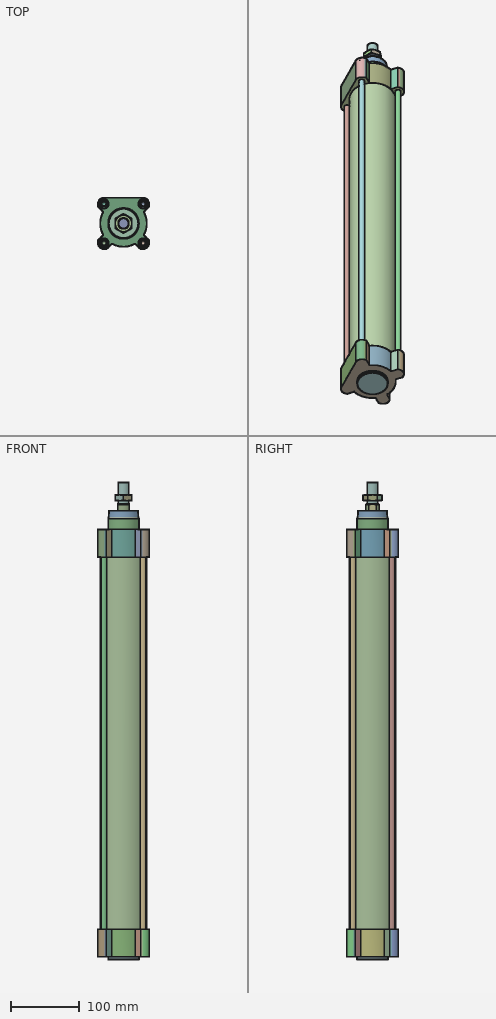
import cadquery as cq
import math

total_length = 693.0
rear_spigot_height = 4.0
cover_height = 40.0
front_cover_top = 624.5
collar_top = 651.5
collar_step_bottom = 640.0
collar_step_height = 2.0
nut_bottom = 666.0
nut_height = 8.0
rod_shoulder_top = 662.0

cover_width = 75.0
cover_diameter = 68.0
barrel_diameter = 67.0
bolt_offset = 28.5
lug_width = 18.0
lug_corner_radius = 10.0

collar_diameter = 45.0
collar_neck_diameter = 44.0
collar_top_diameter = 42.0
spigot_chamfer = 1.0
tie_rod_diameter = 8.0

recess_diameter = 14.0
recess_depth = 3.5
socket_diameter = 6.65
socket_depth = 10.5
socket_mouth_diameter = 9.0
drill_point_angle = 118.0

rod_diameter = 20.0
thread_diameter = 16.0
rod_chamfer = (rod_diameter - thread_diameter) / 2
thread_chamfer = 1.0
wrench_flat_width = 17.0
nut_across_flats = 24.0
nut_chamfer_height = 1.0
nut_corner_diameter = nut_across_flats / math.cos(math.pi / 6)

front_cover_bottom = front_cover_top - cover_height
rear_cover_bottom = rear_spigot_height
rear_cover_top = rear_cover_bottom + cover_height
rod_bottom = front_cover_bottom


def cylinder(diameter, bottom, top):
    return cq.Workplane("XY").workplane(offset=bottom).circle(diameter / 2).extrude(top - bottom)


def at_bolts(bottom):
    """Workplane at the given height with a point on each of the four bolt axes."""
    spacing = 2 * bolt_offset
    return cq.Workplane("XY").workplane(offset=bottom).rect(spacing, spacing, forConstruction=True).vertices()


def make_cover(bottom):
    """Round cover with four diagonal corner lugs and a flat +Y side."""
    square = (
        cq.Workplane("XY").workplane(offset=bottom)
        .rect(cover_width, cover_width).extrude(cover_height)
        .edges("|Z").fillet(lug_corner_radius)
    )
    cover = cylinder(cover_diameter, bottom, bottom + cover_height)
    for angle in (45, 135):
        band = (
            cq.Workplane("XY").workplane(offset=bottom)
            .rect(2 * cover_width, lug_width).extrude(cover_height)
            .rotate((0, 0, 0), (0, 0, 1), angle)
        )
        cover = cover.union(band.intersect(square))
    flat_side = (
        cq.Workplane("XY").workplane(offset=bottom)
        .center(0, (cover_width / 2 + bolt_offset) / 2)
        .rect(2 * bolt_offset, cover_width / 2 - bolt_offset).extrude(cover_height)
    )
    return cover.union(flat_side)


def make_bolt_recess():
    """Counterbore, conical mouth and drilled socket, opening upwards at the origin."""
    recess_radius = recess_diameter / 2
    mouth_radius = socket_mouth_diameter / 2
    socket_radius = socket_diameter / 2
    mouth_depth = recess_depth + mouth_radius - socket_radius
    point_depth = socket_depth + socket_radius / math.tan(math.radians(drill_point_angle / 2))
    return (
        cq.Workplane("XZ")
        .lineTo(recess_radius, 0)
        .lineTo(recess_radius, -recess_depth)
        .lineTo(mouth_radius, -recess_depth)
        .lineTo(socket_radius, -mouth_depth)
        .lineTo(socket_radius, -socket_depth)
        .lineTo(0, -point_depth)
        .close()
        .revolve(360, (0, 0, 0), (0, 1, 0))
    )


def make_collar():
    """Collar on the front cover: a cylinder, a bevelled step and a tapered neck."""
    neck_radius = collar_neck_diameter / 2
    return (
        cq.Workplane("XZ")
        .moveTo(0, front_cover_top)
        .lineTo(collar_diameter / 2, front_cover_top)
        .lineTo(collar_diameter / 2, collar_step_bottom)
        .lineTo(neck_radius, collar_step_bottom + collar_step_height)
        .lineTo(collar_top_diameter / 2, collar_top)
        .lineTo(0, collar_top)
        .close()
        .revolve(360, (0, 0, 0), (0, 1, 0))
    )


def make_housing():
    """Barrel, both covers, tie rods, collar and rear spigot in one piece."""
    barrel_length = front_cover_bottom - rear_cover_top
    body = cylinder(barrel_diameter, rear_cover_top, front_cover_bottom)
    spigot = cylinder(collar_diameter, 0, rear_cover_bottom).faces("<Z").chamfer(spigot_chamfer)
    tie_rods = at_bolts(rear_cover_top).circle(tie_rod_diameter / 2).extrude(barrel_length)
    rear_cover = make_cover(rear_cover_bottom)
    front_cover = make_cover(front_cover_bottom)
    for part in (rear_cover, front_cover, tie_rods, spigot, make_collar()):
        body = body.union(part)
    recess = make_bolt_recess().val()
    for x in (-bolt_offset, bolt_offset):
        for y in (-bolt_offset, bolt_offset):
            mouth = cq.Location(cq.Vector(x, y, front_cover_top))
            body = body.cut(cq.Workplane(recess.moved(mouth)))
    return body.cut(cylinder(rod_diameter, rod_bottom, total_length))


def make_piston_rod():
    """Rod with a chamfered shoulder, a threaded end and two wrench flats facing +X and -X."""
    shank = cylinder(rod_diameter, rod_bottom, rod_shoulder_top)
    shank = shank.faces(">Z").chamfer(rod_chamfer)
    flat_cutters = (
        cq.Workplane("XY").workplane(offset=collar_top)
        .pushPoints([(-rod_diameter, 0), (rod_diameter, 0)])
        .rect(2 * rod_diameter - wrench_flat_width, 2 * rod_diameter)
        .extrude(rod_shoulder_top - collar_top)
    )
    thread = cylinder(thread_diameter, rod_shoulder_top, total_length).faces(">Z").chamfer(thread_chamfer)
    return shank.cut(flat_cutters).union(thread)


def make_nut():
    """Hexagon nut with flats facing +X and -X, chamfered on both ends."""
    chamfer_cone = (
        cylinder(nut_corner_diameter, nut_bottom, nut_bottom + nut_height)
        .faces("<Z or >Z").chamfer(nut_chamfer_height, (nut_corner_diameter - nut_across_flats) / 2)
    )
    return (
        cq.Workplane("XY").workplane(offset=nut_bottom)
        .polygon(6, nut_corner_diameter).extrude(nut_height)
        .rotate((0, 0, 0), (0, 0, 1), 30)
        .intersect(chamfer_cone)
        .cut(cylinder(thread_diameter, nut_bottom, nut_bottom + nut_height))
    )


housing = make_housing()
piston_rod = make_piston_rod()
nut = make_nut()

result = cq.Compound.makeCompound([housing.val(), piston_rod.val(), nut.val()])